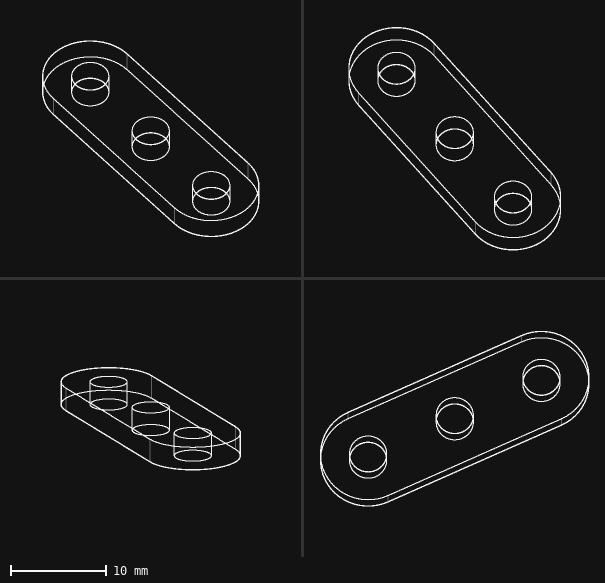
import cadquery as cq

length = 30.0
hole_count = 3
thickness = 2.5
hole_diameter = 3.9

width = length / hole_count
hole_pitch = width

bar = cq.Workplane("XY").slot2D(length, width).extrude(thickness)

result = (
    bar.faces(">Z")
    .workplane(origin=(0, 0, thickness))
    .rarray(hole_pitch, width, hole_count, 1)
    .hole(hole_diameter)
)